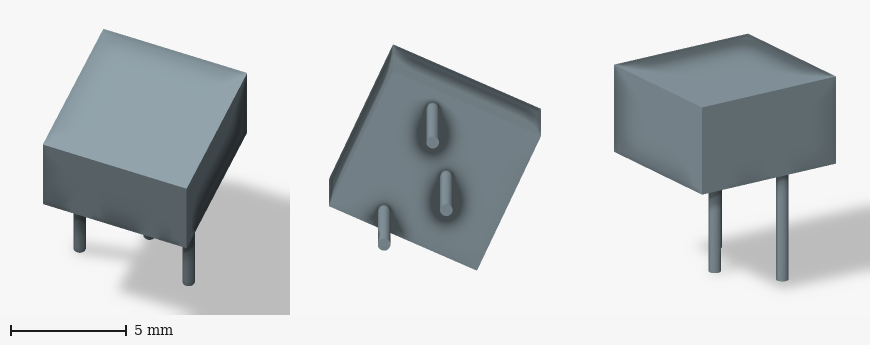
import cadquery as cq

total_height = 9.1
body_length = 6.71
body_width = 7.04
body_height = 4.0

lead_diameter = 0.55
lead_pitch = 2.54
outer_lead_y = -1.265
middle_lead_setback = 1.8
lead_length = total_height - body_height

lead_positions = [
    (-lead_pitch, outer_lead_y),
    (0, outer_lead_y + middle_lead_setback),
    (lead_pitch, outer_lead_y),
]


def make_housing():
    """Plain block standing on the plane Z = 0."""
    return cq.Workplane("XY").box(
        body_length, body_width, body_height, centered=(True, True, False)
    )


def make_lead(x, y):
    """Round lead hanging from the underside of the housing."""
    return cq.Workplane("XY").center(x, y).circle(lead_diameter / 2).extrude(-lead_length)


housing = make_housing()
leads = [make_lead(x, y) for x, y in lead_positions]

result = cq.Compound.makeCompound([housing.val(), *[lead.val() for lead in leads]])